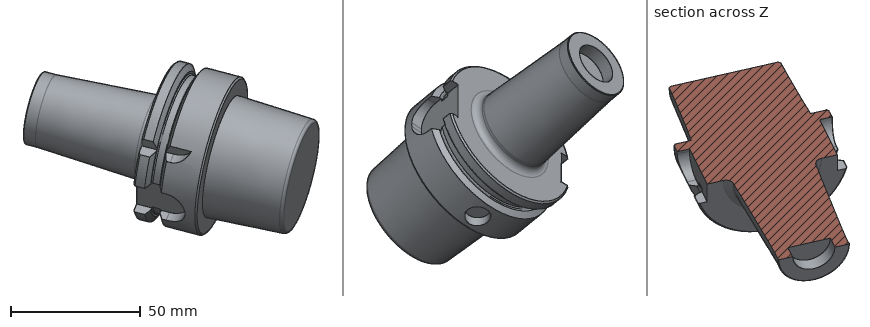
import cadquery as cq
import math

nose_x = -76.0
nose_land_end_x = nose_x + 5.0
flange_front_x = -26.0
flange_back_x = 0.0
shank_end_x = 32.0

arc_middle_factor = 1 - math.sqrt(0.5)

nose_radius = 29.0 / 2
neck_radius = 33.7 / 2
nose_chamfer = 0.3
neck_fillet = 3.0
neck_land_length = 1.0
bore_diameter = 17.0
bore_depth = 5.5

flange_radius = 63.0 / 2
flange_chamfer = 0.7
groove_center_x = -18.0
groove_top_width = 6.8
groove_bottom_width = 3.75
groove_radius = 55.0 / 2
groove_wall_angle = 60.0
groove_corner_fillet = 0.5

shank_base_radius = 48.6 / 2
shank_taper = 1 / 10
shank_end_fillet = 1.3
shank_tip_radius = shank_base_radius - (shank_end_x - shank_end_fillet) * shank_taper / 2

slot_floor_y = 26.5
slot_end_x = -4.7
near_slot_width = 16.0
far_slot_width = 18.0
far_slot_corner_radius = 8.0

notch_offset = 20.0
notch_cutter_radius = 8.0
notch_flat_end_x = -13.1

chip_hole_diameter = 10.0
chip_hole_depth = 4.6
chip_hole_x = -7.5


def revolved_body():
    """Nose, neck, grooved flange and taper shank as one turned profile."""
    neck_end_x = flange_front_x - neck_fillet
    taper_end_x = neck_end_x - neck_land_length
    fillet_end_radius = neck_radius + neck_fillet
    half_top = groove_top_width / 2
    half_bottom = groove_bottom_width / 2
    wall_slope = math.tan(math.radians(groove_wall_angle))
    groove_step_radius = flange_radius - (half_top - half_bottom) * wall_slope
    groove_left = groove_center_x - half_bottom
    groove_right = groove_center_x + half_bottom

    neck_arc = neck_fillet * arc_middle_factor
    groove_arc = groove_corner_fillet * arc_middle_factor
    end_arc = shank_end_fillet * arc_middle_factor

    profile = (
        cq.Workplane("XZ")
        .moveTo(nose_x, 0)
        .lineTo(nose_x, nose_radius - nose_chamfer)
        .lineTo(nose_x + nose_chamfer, nose_radius)
        .lineTo(nose_land_end_x, nose_radius)
        .lineTo(taper_end_x, neck_radius)
        .lineTo(neck_end_x, neck_radius)
        .threePointArc(
            (flange_front_x - neck_arc, neck_radius + neck_arc),
            (flange_front_x, fillet_end_radius),
        )
        .lineTo(flange_front_x, flange_radius - flange_chamfer)
        .lineTo(flange_front_x + flange_chamfer, flange_radius)
        .lineTo(groove_center_x - half_top, flange_radius)
        .lineTo(groove_left, groove_step_radius)
        .lineTo(groove_left, groove_radius + groove_corner_fillet)
        .threePointArc(
            (groove_left + groove_arc, groove_radius + groove_arc),
            (groove_left + groove_corner_fillet, groove_radius),
        )
        .lineTo(groove_right - groove_corner_fillet, groove_radius)
        .threePointArc(
            (groove_right - groove_arc, groove_radius + groove_arc),
            (groove_right, groove_radius + groove_corner_fillet),
        )
        .lineTo(groove_right, groove_step_radius)
        .lineTo(groove_center_x + half_top, flange_radius)
        .lineTo(flange_back_x - flange_chamfer, flange_radius)
        .lineTo(flange_back_x, flange_radius - flange_chamfer)
        .lineTo(flange_back_x, shank_base_radius)
        .lineTo(shank_end_x - shank_end_fillet, shank_tip_radius)
        .threePointArc(
            (shank_end_x - end_arc, shank_tip_radius - end_arc),
            (shank_end_x, shank_tip_radius - shank_end_fillet),
        )
        .lineTo(shank_end_x, 0)
        .close()
    )
    return profile.revolve(360, (0, 0, 0), (1, 0, 0))


def bore():
    """Blind clamping bore in the nose."""
    return cq.Workplane("YZ", origin=(nose_x, 0, 0)).circle(bore_diameter / 2).extrude(bore_depth)


def near_drive_slot():
    """Slot on the -Y side, open at the flange front and ending in a full half round."""
    half_width = near_slot_width / 2
    round_start_x = slot_end_x - half_width
    return (
        cq.Workplane("XZ", origin=(0, -slot_floor_y, 0))
        .moveTo(flange_front_x, -half_width)
        .lineTo(round_start_x, -half_width)
        .threePointArc((slot_end_x, 0), (round_start_x, half_width))
        .lineTo(flange_front_x, half_width)
        .close()
        .extrude(flange_radius - slot_floor_y)
    )


def far_drive_slot():
    """Wider slot on the +Y side, open at the flange front and ending in two rounded corners."""
    length = slot_end_x - flange_front_x
    return (
        cq.Workplane("XZ", origin=(flange_front_x + length / 2, slot_floor_y, 0))
        .rect(length, far_slot_width)
        .extrude(slot_floor_y - flange_radius)
        .edges("|Y and >X")
        .fillet(far_slot_corner_radius)
    )


def orientation_notch():
    """Square-cornered notch at (-Y, +Z), running out along the cutter radius."""
    notch_end_x = notch_flat_end_x + notch_cutter_radius
    notch_arc = notch_cutter_radius * arc_middle_factor
    return (
        cq.Workplane("XZ", origin=(0, -notch_offset, 0))
        .moveTo(flange_front_x, notch_offset)
        .lineTo(notch_flat_end_x, notch_offset)
        .threePointArc(
            (notch_end_x - notch_arc, notch_offset + notch_arc),
            (notch_end_x, notch_offset + notch_cutter_radius),
        )
        .lineTo(notch_end_x, flange_radius)
        .lineTo(flange_front_x, flange_radius)
        .close()
        .extrude(flange_radius - notch_offset)
    )


def chip_hole():
    """Blind radial hole from the bottom of the flange."""
    return (
        cq.Workplane("XY", origin=(chip_hole_x, 0, -flange_radius))
        .circle(chip_hole_diameter / 2)
        .extrude(chip_hole_depth)
    )


result = (
    revolved_body()
    .cut(bore())
    .cut(near_drive_slot())
    .cut(far_drive_slot())
    .cut(orientation_notch())
    .cut(chip_hole())
)